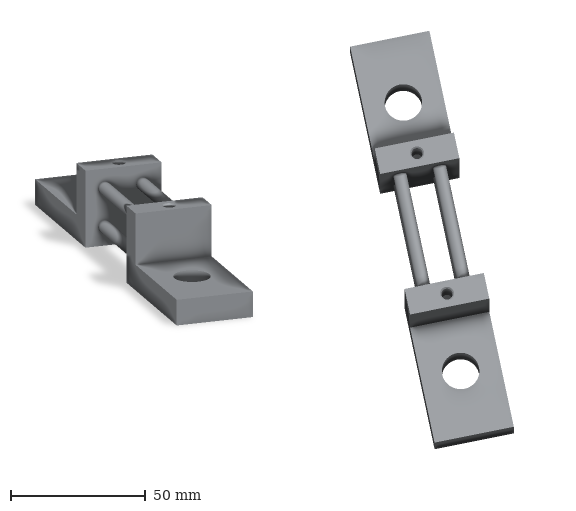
import cadquery as cq
import math

length = 155.0
width = 30.0
height = width

rod_gap = 45.0
wall = height / 3
bracket_length = (length - rod_gap) / 2
mount_hole_diameter = 14.0
mount_hole_from_end = 25.0

top_hole_diameter = 4.2
top_hole_mouth_diameter = 5.3
top_hole_depth = 10.0
drill_point_angle = 118

rod_diameter = 5.0
rod_spacing = width / 2


def make_top_hole(x):
    """Solid filling a top hole: 45 degree mouth, straight bore and conical bottom."""
    radius = top_hole_diameter / 2
    mouth_radius = top_hole_mouth_diameter / 2
    chamfer = mouth_radius - radius
    shoulder_z = height - top_hole_depth
    point_length = radius / math.tan(math.radians(drill_point_angle / 2))
    half_section = [
        (0, height),
        (mouth_radius, height),
        (radius, height - chamfer),
        (radius, shoulder_z),
        (0, shoulder_z - point_length),
    ]
    drill = cq.Workplane("XZ").polyline(half_section).close().revolve(360, (0, 0, 0), (0, 1, 0))
    return drill.translate((x, 0, 0))


def make_left_bracket():
    """L-shaped bracket at the -X end, with its mounting hole and top hole."""
    outer_x = -length / 2
    inner_x = outer_x + bracket_length
    wall_x = inner_x - wall
    outline = [
        (outer_x, 0),
        (inner_x, 0),
        (inner_x, height),
        (wall_x, height),
        (wall_x, wall),
        (outer_x, wall),
    ]
    bracket = cq.Workplane("XZ").polyline(outline).close().extrude(width / 2, both=True)

    mount_hole = (
        cq.Workplane("XY")
        .center(outer_x + mount_hole_from_end, 0)
        .circle(mount_hole_diameter / 2)
        .extrude(wall)
    )
    return bracket.cut(mount_hole).cut(make_top_hole(inner_x - wall / 2))


def make_rods():
    """Four rods spanning the gap between the bracket walls."""
    return (
        cq.Workplane("YZ", origin=(-rod_gap / 2, 0, height / 2))
        .rarray(rod_spacing, rod_spacing, 2, 2)
        .circle(rod_diameter / 2)
        .extrude(rod_gap)
    )


left_bracket = make_left_bracket()
right_bracket = left_bracket.mirror("YZ")
result = left_bracket.union(right_bracket).union(make_rods())